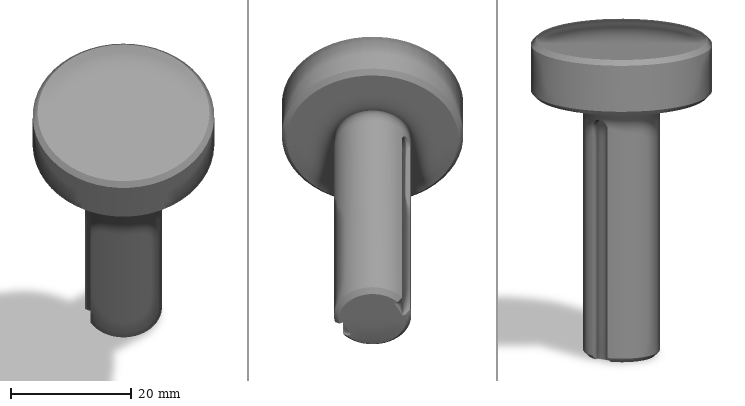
import cadquery as cq

total_height = 53.85
head_diameter = 30.15
head_height = 9.5
shaft_diameter = 12.8
edge_chamfer = 0.8
slot_width = 3.0
slot_floor = 4.8
slot_top = 41.35


def make_head():
    """Flat round head with both rims chamfered."""
    return (
        cq.Workplane("XY")
        .workplane(offset=total_height - head_height)
        .circle(head_diameter / 2)
        .extrude(head_height)
        .edges("%CIRCLE")
        .chamfer(edge_chamfer)
    )


def make_shaft():
    """Cylindrical shaft with a chamfered tip at Z = 0."""
    return (
        cq.Workplane("XY")
        .circle(shaft_diameter / 2)
        .extrude(total_height - head_height)
        .faces("<Z")
        .chamfer(edge_chamfer)
    )


def make_slot():
    """Flat-floored slot in the -Y side, open at the tip and round at its upper end."""
    half_width = slot_width / 2
    arc_start = slot_top - half_width
    return (
        cq.Workplane("XZ")
        .workplane(offset=slot_floor)
        .moveTo(-half_width, 0)
        .lineTo(half_width, 0)
        .lineTo(half_width, arc_start)
        .threePointArc((0, slot_top), (-half_width, arc_start))
        .close()
        .extrude(shaft_diameter / 2 - slot_floor)
    )


front_slot = make_slot()
back_slot = front_slot.mirror("XZ")
result = make_head().union(make_shaft()).cut(front_slot).cut(back_slot)